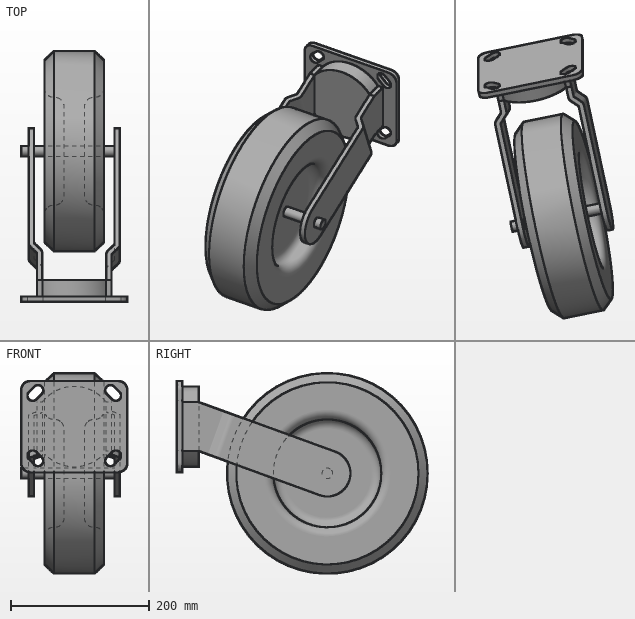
import cadquery as cq
import math


wheel_radius = 145.5
wheel_width = 86.5
tread_width = 58.0
face_radius = 132.0
recess_radius = 91.5
recess_round = 13.5
recess_wall = 1.5
recess_depth = 2 * recess_round + recess_wall

axle_radius = 7.5
axle_left_end = -77.0

sheet = 8.0
arm_width = 67.0
arm_tilt = 20.0
axle_end_outer_x = 66.0
plate_end_outer_x = 54.0
bend_angle = math.radians(45)
bend_inner_radius = 1.8
bend_outer_radius = bend_inner_radius + sheet
left_bend_start = 152.7
right_bend_start = 155.0

plate_width = 154.0
plate_height = 132.5
plate_corner_radius = 13.5
plate_front_y = -218.0
plate_back_y = plate_front_y + sheet
boss_depth = 24.0
boss_back_y = plate_back_y + boss_depth

slot_width = 15.0
slot_spread = 11.0
slot_x = 56.5
upper_slot_z = 48.7
lower_slot_z = -45.8

tilt = math.radians(arm_tilt)
plate_center_z = -boss_back_y * math.tan(tilt)
root_height = arm_width / math.cos(tilt)
root_inner_x = plate_end_outer_x - sheet
boss_radius = math.hypot(root_inner_x, root_height / 2)


def make_recess(side):
    """Dished cutter for one side face: rim round, short straight wall, then web round."""
    rim_x = side * wheel_width / 2
    wall_outer_x = rim_x - side * recess_round
    wall_inner_x = wall_outer_x - side * recess_wall
    web_x = rim_x - side * recess_depth
    wall_radius = recess_radius - recess_round
    web_radius = wall_radius - recess_round
    profile = (
        cq.Workplane("XY")
        .moveTo(web_x, 0)
        .lineTo(web_x, web_radius)
        .tangentArcPoint((wall_inner_x, wall_radius), relative=False)
        .lineTo(wall_outer_x, wall_radius)
        .tangentArcPoint((rim_x, recess_radius), relative=False)
        .lineTo(rim_x, 0)
        .close()
    )
    return profile.revolve(360, (0, 0, 0), (1, 0, 0))


def make_wheel():
    """Revolved tyre and hub with a dished recess in each side and a bore for the axle."""
    half_width = wheel_width / 2
    half_tread = tread_width / 2
    profile = (
        cq.Workplane("XY")
        .moveTo(-half_width, axle_radius)
        .lineTo(half_width, axle_radius)
        .lineTo(half_width, face_radius)
        .lineTo(half_tread, wheel_radius)
        .lineTo(-half_tread, wheel_radius)
        .lineTo(-half_width, face_radius)
        .close()
    )
    wheel = profile.revolve(360, (0, 0, 0), (1, 0, 0))
    for side in (-1, 1):
        wheel = wheel.cut(make_recess(side))
    return wheel


def make_arm(bend_start, side):
    """Tilted arm with a rounded axle end and a joggle; side is +1 for +X and -1 for -X."""
    inner_x = axle_end_outer_x - sheet
    offset = axle_end_outer_x - plate_end_outer_x
    bend_radii = bend_outer_radius + bend_inner_radius
    slope_length = (offset - bend_radii * (1 - math.cos(bend_angle))) / math.sin(bend_angle)
    bend_end = bend_start + bend_radii * math.sin(bend_angle) + slope_length * math.cos(bend_angle)
    first_center_x = inner_x - bend_inner_radius
    second_center_x = plate_end_outer_x + bend_inner_radius
    strip_length = -boss_back_y / math.cos(tilt) + arm_width / 2 * math.tan(tilt)

    def point(x, distance):
        return (side * x, -distance)

    def first_bend_exit(radius):
        return point(
            first_center_x + radius * math.cos(bend_angle),
            bend_start + radius * math.sin(bend_angle),
        )

    def second_bend_entry(radius):
        return point(
            second_center_x - radius * math.cos(bend_angle),
            bend_end - radius * math.sin(bend_angle),
        )

    strip = (
        cq.Workplane("XY", origin=(0, 0, -arm_width / 2))
        .moveTo(*point(axle_end_outer_x, 0))
        .lineTo(*point(axle_end_outer_x, bend_start))
        .tangentArcPoint(first_bend_exit(bend_outer_radius), relative=False)
        .lineTo(*second_bend_entry(bend_inner_radius))
        .tangentArcPoint(point(plate_end_outer_x, bend_end), relative=False)
        .lineTo(*point(plate_end_outer_x, strip_length))
        .lineTo(*point(root_inner_x, strip_length))
        .lineTo(*point(root_inner_x, bend_end))
        .tangentArcPoint(second_bend_entry(bend_outer_radius), relative=False)
        .lineTo(*first_bend_exit(bend_inner_radius))
        .tangentArcPoint(point(inner_x, bend_start), relative=False)
        .lineTo(*point(inner_x, 0))
        .close()
        .extrude(arm_width)
    )
    round_end = (
        cq.Workplane("YZ", origin=(side * inner_x, 0, 0))
        .circle(arm_width / 2)
        .extrude(side * sheet)
    )
    arm = strip.union(round_end).rotate((0, 0, 0), (1, 0, 0), -arm_tilt)

    trim_size = 2 * strip_length
    trim = cq.Workplane("XY").box(trim_size, trim_size, trim_size)
    arm = arm.cut(trim.translate((0, boss_back_y - trim_size / 2, 0)))
    root = cq.Workplane("XY").box(sheet, boss_depth, root_height).translate(
        (side * (root_inner_x + sheet / 2), plate_back_y + boss_depth / 2, plate_center_z)
    )
    return arm.union(root)


def make_boss():
    """Round boss behind the plate, cut flat where the two arms lie against it."""
    disc = (
        cq.Workplane("XZ", origin=(0, boss_back_y, plate_center_z))
        .circle(boss_radius)
        .extrude(boss_depth)
    )
    between_arms = (
        cq.Workplane("XZ", origin=(0, boss_back_y, plate_center_z))
        .rect(2 * root_inner_x, 2 * boss_radius)
        .extrude(boss_depth)
    )
    return disc.intersect(between_arms)


def make_plate():
    """Mounting plate with rounded corners and a diagonal slot at each corner."""
    workplane = cq.Workplane("XZ", origin=(0, plate_back_y, plate_center_z))
    plate = workplane.rect(plate_width, plate_height).extrude(sheet).edges("|Y").fillet(plate_corner_radius)
    slot_length = slot_spread + slot_width
    for x_side in (-1, 1):
        for slot_z in (upper_slot_z, lower_slot_z):
            slot_angle = -45 * x_side * math.copysign(1, slot_z)
            slot = (
                workplane.center(x_side * slot_x, slot_z)
                .slot2D(slot_length, slot_width, slot_angle)
                .extrude(sheet)
            )
            plate = plate.cut(slot)
    return plate


def make_axle():
    """Axle running through the wheel, flush with the outer face of the right arm."""
    return (
        cq.Workplane("YZ", origin=(axle_left_end, 0, 0))
        .circle(axle_radius)
        .extrude(axle_end_outer_x - axle_left_end)
    )


def make_fork():
    """Plate, boss, both arms and the axle as one rigid body."""
    fork = make_plate().union(make_boss())
    for bend_start, side in ((left_bend_start, -1), (right_bend_start, 1)):
        fork = fork.union(make_arm(bend_start, side))
    return fork.union(make_axle())


wheel = make_wheel()
fork = make_fork()
result = cq.Compound.makeCompound([*wheel.solids().vals(), *fork.solids().vals()])